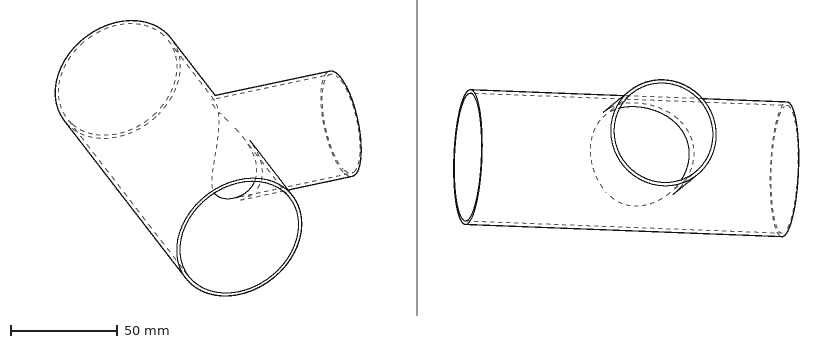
import cadquery as cq

run_length = 152.4
run_outer_d = 63.5
run_inner_d = 60.2

branch_outer_d = 50.7
branch_inner_d = 47.5
overall_depth = 114.3
branch_reach = overall_depth - run_outer_d / 2

weld_radius = 1.5


def run_cylinder(diameter):
    """Solid cylinder along X, centred on the origin."""
    return cq.Workplane("YZ").circle(diameter / 2).extrude(run_length / 2, both=True)


def branch_cylinder(diameter):
    """Solid cylinder from the main pipe axis to the branch mouth."""
    return cq.Workplane("XZ").circle(diameter / 2).extrude(-branch_reach)


outside = run_cylinder(run_outer_d).union(branch_cylinder(branch_outer_d))

joint_region = cq.selectors.BoxSelector(
    (-branch_outer_d, 0, -run_outer_d),
    (branch_outer_d, run_outer_d / 2 + weld_radius, run_outer_d),
    boundingbox=True,
)
outside = outside.edges(joint_region).fillet(weld_radius)

result = outside.cut(run_cylinder(run_inner_d)).cut(branch_cylinder(branch_inner_d))